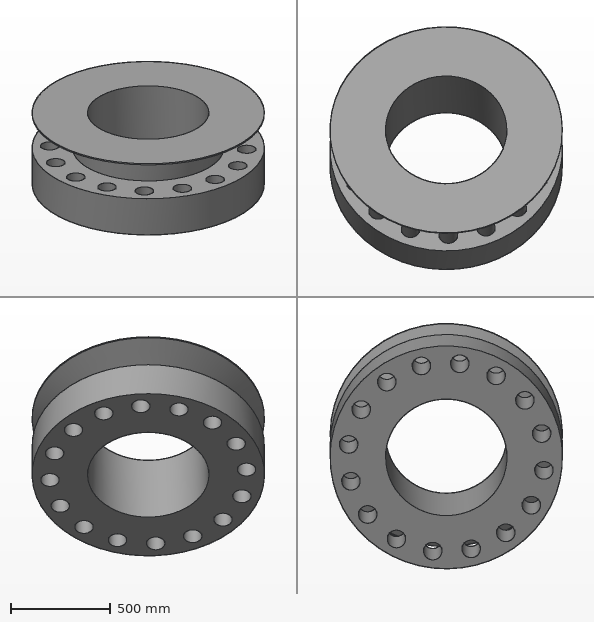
import cadquery as cq

outer_diameter = 1168.0
bore_diameter = 610.0
neck_diameter = 762.0
overall_height = 400.0
flange_thickness = 203.0
neck_height = 95.0
rim_thickness = 7.0

bolt_count = 16
bolt_circle_diameter = 991.0
bolt_hole_diameter = 92.0

outer_radius = outer_diameter / 2
bore_radius = bore_diameter / 2
neck_radius = neck_diameter / 2
cone_bottom = flange_thickness + neck_height
rim_bottom = overall_height - rim_thickness


def ring_body():
    """Lower flange, neck and flared upper rim around one through bore."""
    half_section = [
        (bore_radius, 0),
        (outer_radius, 0),
        (outer_radius, flange_thickness),
        (neck_radius, flange_thickness),
        (neck_radius, cone_bottom),
        (outer_radius, rim_bottom),
        (outer_radius, overall_height),
        (bore_radius, overall_height),
    ]
    return cq.Workplane("XZ").polyline(half_section).close().revolve(360, (0, 0), (0, 1))


def bolt_holes():
    """Cylinders that cut the lower flange only, one of them on the +X axis."""
    return (
        cq.Workplane("XY")
        .polarArray(bolt_circle_diameter / 2, 0, 360, bolt_count)
        .circle(bolt_hole_diameter / 2)
        .extrude(flange_thickness)
    )


result = ring_body().cut(bolt_holes())